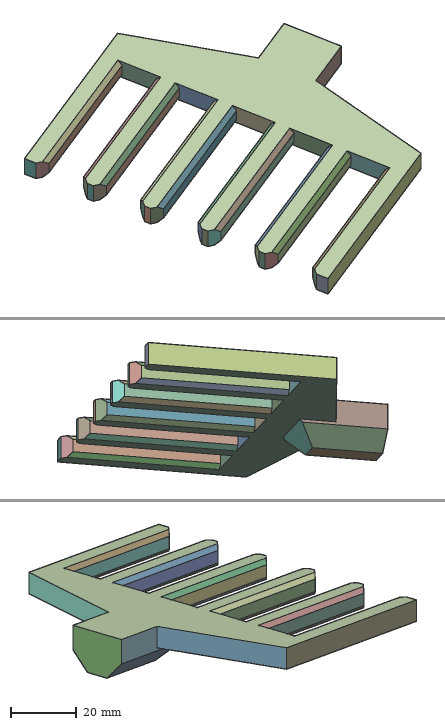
import cadquery as cq
import math

WIDTH = 106.0
LENGTH = 88.0
HEIGHT = 14.0

PLATE_THICKNESS = 7.0
SHOULDER_Y = 60.0
SHOULDER_SLOPE = 15.0

GAP_COUNT = 5
GAP_WIDTH = 12.0
OUTER_TOOTH_WIDTH = 7.0
GAP_PITCH = (WIDTH - 2 * OUTER_TOOTH_WIDTH - GAP_WIDTH) / (GAP_COUNT - 1)
GAP_LENGTH = 50.0
TOOTH_EDGE_CHAMFER = 1.5
TIP_CHAMFER = 3.0

HANDLE_WIDTH = 20.0
HANDLE_SIDE_CHAMFER = 6.0
HANDLE_START_Y = SHOULDER_Y
HANDLE_BOTTOM_START_Y = 65.6

OVERCUT = 1.1


def make_plate():
    """Plate outline: straight sides, then shoulders sloping up to the handle."""
    half_width = WIDTH / 2
    half_handle = HANDLE_WIDTH / 2
    shoulder_rise = (half_width - half_handle) * math.tan(math.radians(SHOULDER_SLOPE))
    neck_y = SHOULDER_Y + shoulder_rise
    return (
        cq.Workplane("XY")
        .moveTo(-half_width, 0)
        .lineTo(half_width, 0)
        .lineTo(half_width, SHOULDER_Y)
        .lineTo(half_handle, neck_y)
        .lineTo(-half_handle, neck_y)
        .lineTo(-half_width, SHOULDER_Y)
        .close()
        .extrude(-PLATE_THICKNESS)
    )


def make_handle():
    """Handle block, chamfered under both sides and sloping up to the plate at the front."""
    half_width = HANDLE_WIDTH / 2
    half_bottom = half_width - HANDLE_SIDE_CHAMFER
    side_z = HANDLE_SIDE_CHAMFER - HEIGHT
    bar = (
        cq.Workplane("XZ")
        .moveTo(-half_width, 0)
        .lineTo(half_width, 0)
        .lineTo(half_width, side_z)
        .lineTo(half_bottom, -HEIGHT)
        .lineTo(-half_bottom, -HEIGHT)
        .lineTo(-half_width, side_z)
        .close()
        .extrude(HANDLE_START_Y - LENGTH)
        .translate((0, HANDLE_START_Y, 0))
    )
    front_slope = (
        cq.Workplane("YZ")
        .moveTo(HANDLE_START_Y, -PLATE_THICKNESS)
        .lineTo(HANDLE_BOTTOM_START_Y, -HEIGHT)
        .lineTo(HANDLE_START_Y, -HEIGHT)
        .close()
        .extrude(half_width, both=True)
    )
    return bar.cut(front_slope)


def make_gap_slot():
    """Gap between two teeth, flared at top and bottom to chamfer the long tooth edges."""
    half_gap = GAP_WIDTH / 2
    half_flare = half_gap + TOOTH_EDGE_CHAMFER
    upper_z = -TOOTH_EDGE_CHAMFER
    lower_z = TOOTH_EDGE_CHAMFER - PLATE_THICKNESS
    return (
        cq.Workplane("XZ")
        .moveTo(-half_flare, 0)
        .lineTo(half_flare, 0)
        .lineTo(half_gap, upper_z)
        .lineTo(half_gap, lower_z)
        .lineTo(half_flare, -PLATE_THICKNESS)
        .lineTo(-half_flare, -PLATE_THICKNESS)
        .lineTo(-half_gap, lower_z)
        .lineTo(-half_gap, upper_z)
        .close()
        .extrude(GAP_LENGTH + OVERCUT)
        .translate((0, GAP_LENGTH, 0))
    )


def make_gap_mouth():
    """Widening at the open end of a gap that chamfers the tooth tips at 45 degrees."""
    half_gap = GAP_WIDTH / 2
    half_mouth = half_gap + TIP_CHAMFER
    return (
        cq.Workplane("XY")
        .moveTo(-half_mouth - OVERCUT, -OVERCUT)
        .lineTo(half_mouth + OVERCUT, -OVERCUT)
        .lineTo(half_gap, TIP_CHAMFER)
        .lineTo(-half_gap, TIP_CHAMFER)
        .close()
        .extrude(-PLATE_THICKNESS)
    )


result = make_plate().union(make_handle())

gap_cutter = make_gap_slot().union(make_gap_mouth())
for index in range(GAP_COUNT):
    gap_x = (index - (GAP_COUNT - 1) / 2) * GAP_PITCH
    result = result.cut(gap_cutter.translate((gap_x, 0, 0)))